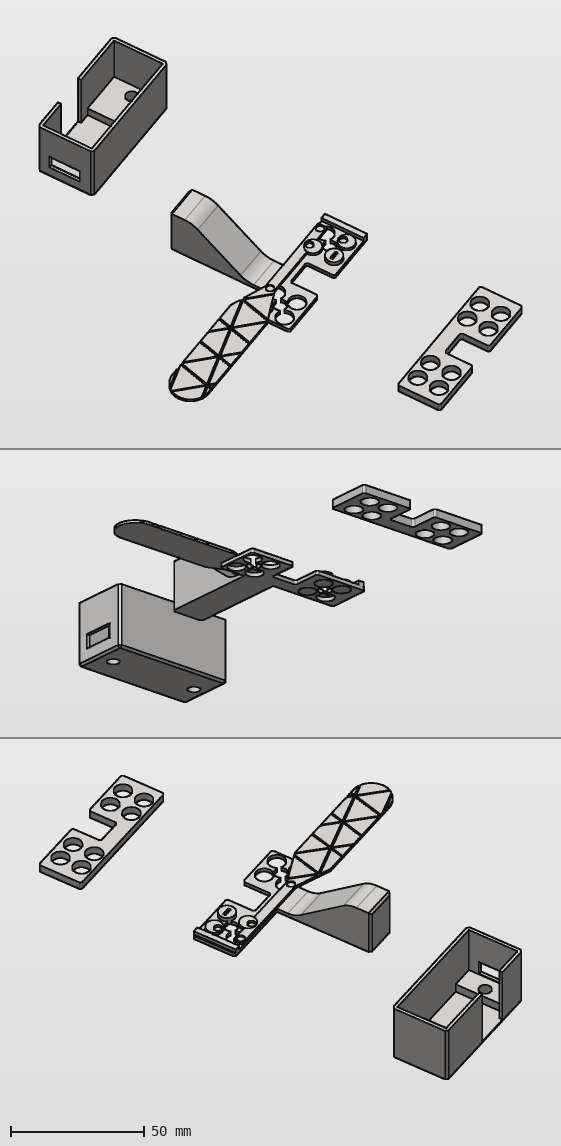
import cadquery as cq
import math


HOUSING_WIDTH = 24.5
HOUSING_LENGTH = 52.7
HOUSING_HEIGHT = 26.0
HOUSING_FRONT = 68.6
HOUSING_CHAMFER = 1.0
WALL = 1.43
END_FLOOR = 5.4
RECESS_FLOOR = 1.5
RECESS_OFFSET = 10.7
RECESS_LENGTH = 22.0
DOOR_OFFSET = 14.1
DOOR_LENGTH = 14.0
SCREW_HOLE = 5.0
SCREW_OFFSET = 7.0
SCREW_PITCH = 39.5
WINDOW_OFFSET = 5.2
WINDOW_WIDTH = 13.4
WINDOW_BOTTOM = 5.7
WINDOW_HEIGHT = 6.0

PLATE_BACK = 106.5
PLATE_CORNER = 1.0
HOLE = 7.0
HOLE_OFFSET = 4.5
HOLE_PITCH_X = 9.4
HOLE_PITCH_Y = 8.8
GROUP_PITCH = 34.8
NOTCH_Y = 77.2
NOTCH_WIDTH = 11.5
STRIP_WIDTH = 6.3

SPARE_LEFT = 172.2
SPARE_WIDTH = 19.0
SPARE_LENGTH = 58.0
SPARE_THICKNESS = 3.5

BASE_LEFT = 103.8
BASE_WIDTH = 18.7
BASE_LENGTH = 55.2
BASE_THICKNESS = 1.7
CENTRE_HOLE = 5.4
LINK_WIDTH = 1.8
RIDGE_WIDTH = 2.5
RIDGE_SETBACK = 0.5
RIDGE_TOP = 3.5
WEDGE_LEFT = 62.1
WEDGE_FRONT = 62.9
WEDGE_WIDTH = 14.3
WEDGE_HEIGHT = 20.0
WEDGE_CHAMFER = 1.0
SLOPE_TOP_X = 71.8
SLOPE_BOTTOM_X = 96.0
SLOPE_RADIUS = 9.5

PADDLE_X = 105.9
PADDLE_THICKNESS = 1.1
BAR_WIDTH = 4.0
BAR_BACK = 100.9
NECK_Y = 64.0
BLADE_WIDTH = 16.0
SHOULDER_Y = 49.1
SMALL_HOLE = 3.2
BAR_HOLE_BACK_Y = 99.2
BAR_HOLE_DEPTH = 0.5
GROOVE_WIDTH = 0.5
GROOVE_DEPTH = 0.5
GROOVE_SPACING = 12.9
GROOVE_NODE = (104.0, 39.4)
GROOVE_ANGLES = (-15, 45, 105)
GROOVES_EACH_SIDE = 3

DISC = 6.9
ECCENTRICITY = 1.5
TALL_DISC_HEIGHT = 3.5
SLOT_WIDTH = 1.1
SLOT_RADIUS = 1.8

PADDLE_TOP = BASE_THICKNESS + PADDLE_THICKNESS


def block(corner, size):
    return cq.Workplane("XY", origin=corner).box(*size, centered=False)


def cylinder(x, y, bottom, top, diameter):
    return cq.Workplane("XY", origin=(x, y, bottom)).circle(diameter / 2).extrude(top - bottom)


def make_housing():
    """Chamfered box with raised floors at both ends and a recessed floor between them."""
    body = block((0, HOUSING_FRONT, 0), (HOUSING_WIDTH, HOUSING_LENGTH, HOUSING_HEIGHT))
    body = body.edges("|Z").chamfer(HOUSING_CHAMFER)
    body = body.faces("<Z").edges().chamfer(HOUSING_CHAMFER)

    inner_width = HOUSING_WIDTH - 2 * WALL
    inner_length = HOUSING_LENGTH - 2 * WALL
    cavity = block((WALL, HOUSING_FRONT + WALL, END_FLOOR), (inner_width, inner_length, HOUSING_HEIGHT))
    recess = block((WALL, HOUSING_FRONT + RECESS_OFFSET, RECESS_FLOOR),
                   (inner_width, RECESS_LENGTH, HOUSING_HEIGHT))
    door = block((0, HOUSING_FRONT + DOOR_OFFSET, RECESS_FLOOR), (WALL, DOOR_LENGTH, HOUSING_HEIGHT))
    window = block((WINDOW_OFFSET, HOUSING_FRONT, WINDOW_BOTTOM), (WINDOW_WIDTH, WALL, WINDOW_HEIGHT))
    body = body.cut(cavity).cut(recess).cut(door).cut(window)

    for index in range(2):
        screw_y = HOUSING_FRONT + SCREW_OFFSET + index * SCREW_PITCH
        body = body.cut(cylinder(HOUSING_WIDTH / 2, screw_y, 0, END_FLOOR, SCREW_HOLE))
    return body


def group_centres(left):
    """Centres of the back and the front group of four holes."""
    x = left + HOLE_OFFSET + HOLE_PITCH_X / 2
    return [(x, NOTCH_Y + side * GROUP_PITCH / 2) for side in (1, -1)]


def hole_centres(group):
    """Hole centres of one group, in the order back left, back right, front left, front right."""
    x, y = group
    return [(x + i * HOLE_PITCH_X / 2, y + j * HOLE_PITCH_Y / 2) for j in (1, -1) for i in (-1, 1)]


def make_plate(left, width, length, thickness):
    """Plate with a notch in its +X side and four holes on either side of the notch."""
    plate = block((left, PLATE_BACK - length, 0), (width, length, thickness))
    plate = plate.cut(block((left + STRIP_WIDTH, NOTCH_Y - NOTCH_WIDTH / 2, 0),
                            (width, NOTCH_WIDTH, thickness)))
    plate = plate.edges("|Z").fillet(PLATE_CORNER)
    for group in group_centres(left):
        for x, y in hole_centres(group):
            plate = plate.cut(cylinder(x, y, 0, thickness, HOLE))
    return plate


def link_cut(group):
    """Centre hole of a group with two crossed slots that reach the four holes around it."""
    x, y = group
    diagonal = math.hypot(HOLE_PITCH_X, HOLE_PITCH_Y)
    angle = math.degrees(math.atan2(HOLE_PITCH_Y, HOLE_PITCH_X))
    cut = cylinder(x, y, 0, BASE_THICKNESS, CENTRE_HOLE)
    for turn in (angle, -angle):
        slot = cq.Workplane("XY").rect(diagonal, LINK_WIDTH).extrude(BASE_THICKNESS)
        cut = cut.union(slot.rotate((0, 0, 0), (0, 0, 1), turn).translate((x, y, 0)))
    return cut


def make_wedge():
    """Ramp that falls from its -X end to the level of the base plate, rounded at both bends."""
    wedge = (
        cq.Workplane("XZ", origin=(0, WEDGE_FRONT, 0))
        .moveTo(WEDGE_LEFT, 0)
        .lineTo(WEDGE_LEFT, WEDGE_HEIGHT)
        .lineTo(SLOPE_TOP_X, WEDGE_HEIGHT)
        .lineTo(SLOPE_BOTTOM_X, BASE_THICKNESS)
        .lineTo(BASE_LEFT, BASE_THICKNESS)
        .lineTo(BASE_LEFT, 0)
        .close()
        .extrude(-WEDGE_WIDTH)
    )
    middle_y = WEDGE_FRONT + WEDGE_WIDTH / 2
    for bend in ((SLOPE_TOP_X, middle_y, WEDGE_HEIGHT), (SLOPE_BOTTOM_X, middle_y, BASE_THICKNESS)):
        wedge = wedge.edges(cq.selectors.NearestToPointSelector(bend)).fillet(SLOPE_RADIUS)
    return wedge.faces("<X").edges("|Z or >Z").chamfer(WEDGE_CHAMFER)


def make_base():
    base = make_plate(BASE_LEFT, BASE_WIDTH, BASE_LENGTH, BASE_THICKNESS)
    for group in group_centres(BASE_LEFT):
        base = base.cut(link_cut(group))
    ridge = block((BASE_LEFT, PLATE_BACK - RIDGE_SETBACK - RIDGE_WIDTH, 0), (BASE_WIDTH, RIDGE_WIDTH, RIDGE_TOP))
    return base.union(ridge).union(make_wedge())


def make_grooves():
    """Three families of parallel grooves, 60 degrees apart, that form a triangular grid on the blade."""
    blade = block((PADDLE_X - BLADE_WIDTH / 2, 0, BASE_THICKNESS),
                  (BLADE_WIDTH, NECK_Y - SMALL_HOLE / 2, PADDLE_THICKNESS))
    node_x, node_y = GROOVE_NODE
    rows = [(0, i * GROOVE_SPACING) for i in range(-GROOVES_EACH_SIDE, GROOVES_EACH_SIDE + 1)]
    family = (cq.Workplane("XY").pushPoints(rows)
              .rect(3 * NECK_Y, GROOVE_WIDTH).extrude(GROOVE_DEPTH))
    grooves = cq.Workplane("XY")
    for angle in GROOVE_ANGLES:
        turned = family.rotate((0, 0, 0), (0, 0, 1), angle)
        grooves = grooves.add(turned.translate((node_x, node_y, PADDLE_TOP - GROOVE_DEPTH)))
    return grooves.combine().intersect(blade)


def make_paddle():
    """Bar and blade in one thickness, with a blind hole at either end of the bar."""
    bar = BAR_WIDTH / 2
    half = BLADE_WIDTH / 2
    paddle = (
        cq.Workplane("XY", origin=(PADDLE_X, 0, BASE_THICKNESS))
        .moveTo(-bar, BAR_BACK)
        .lineTo(-bar, NECK_Y)
        .lineTo(-half, SHOULDER_Y)
        .lineTo(-half, half)
        .threePointArc((0, 0), (half, half))
        .lineTo(half, SHOULDER_Y)
        .lineTo(bar, NECK_Y)
        .lineTo(bar, BAR_BACK)
        .close()
        .extrude(PADDLE_THICKNESS)
    )
    paddle = paddle.cut(make_grooves())
    for y in (BAR_HOLE_BACK_Y, NECK_Y):
        paddle = paddle.cut(cylinder(PADDLE_X, y, PADDLE_TOP - BAR_HOLE_DEPTH, PADDLE_TOP, SMALL_HOLE))
    return paddle


def make_eccentric_disc(centre):
    """Disc as high as the paddle, with an off-centre blind hole down to the top of the base."""
    x, y = centre
    disc = cylinder(x, y, 0, PADDLE_TOP, DISC)
    return disc.cut(cylinder(x - ECCENTRICITY, y, BASE_THICKNESS, PADDLE_TOP, SMALL_HOLE))


def make_tall_disc(centre):
    """Disc with a round-bottomed slot across the middle of its top."""
    x, y = centre
    slot = (cq.Workplane("YZ", origin=(x - SLOT_WIDTH / 2, y, TALL_DISC_HEIGHT))
            .circle(SLOT_RADIUS).extrude(SLOT_WIDTH))
    return cylinder(x, y, 0, TALL_DISC_HEIGHT, DISC).cut(slot)


back_group, front_group = group_centres(BASE_LEFT)
_, back_right, front_left, front_right = hole_centres(back_group)

housing = make_housing()
spare_plate = make_plate(SPARE_LEFT, SPARE_WIDTH, SPARE_LENGTH, SPARE_THICKNESS)
base = make_base()
eccentric_discs = [make_eccentric_disc(centre) for centre in (back_right, front_left)]
tall_disc = make_tall_disc(front_right)

paddle = make_paddle().cut(cylinder(*front_left, BASE_THICKNESS, PADDLE_TOP, DISC))

result = cq.Compound.makeCompound([
    housing.val(),
    spare_plate.val(),
    base.val(),
    paddle.val(),
    *[disc.val() for disc in eccentric_discs],
    tall_disc.val(),
])